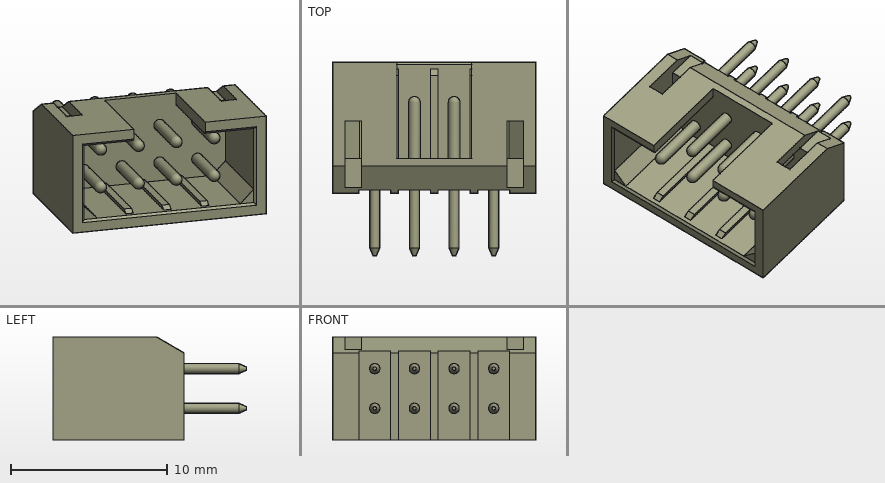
import cadquery as cq
import math

width = 13.0
depth = 8.4
height = 6.6
wall = 0.8
back_wall = 2.24
top_bevel_depth = 1.75
top_bevel_drop = 1.02

corner_bevel = 0.9
mouth_bevel = 0.15
slot_width = 4.8

pitch = 2.54
columns = 4
rows = 2
contact_diameter = 0.75
contact_reach = 6.2
tail_diameter = 0.66
tail_reach = 4.0
tail_taper = 0.5
tail_tip_diameter = 0.22

rib_width = 0.5
recess_depth = 0.2
floor_rib_height = 0.2
floor_rib_setback = 0.44
floor_rib_bevel = 0.4

pocket_width = 1.03
pocket_end = 4.62

embed = 0.4

cavity_width = width - 2 * wall
cavity_height = height - 2 * wall
column_places = [(i - (columns - 1) / 2) * pitch for i in range(columns)]
rib_places = [(i - (columns - 2) / 2) * pitch for i in range(columns - 1)]
row_places = [height / 2 + (i - (rows - 1) / 2) * pitch for i in range(rows)]


def block(x_size, y_start, y_end, z_start, z_end, x_center=0.0):
    """Box centred on x_center and spanning the given Y and Z ranges."""
    box = cq.Workplane("XY").box(x_size, y_end - y_start, z_end - z_start, centered=(True, False, False))
    return box.translate((x_center, y_start, z_start))


def make_shell():
    """Outer block with the long top edge of the pin side bevelled."""
    profile = [
        (0, 0),
        (depth, 0),
        (depth, height),
        (top_bevel_depth, height),
        (0, height - top_bevel_drop),
    ]
    return cq.Workplane("YZ").polyline(profile).close().extrude(width / 2, both=True)


def make_cavity():
    """Cavity with bevelled lower corners and a flared mouth."""
    cavity = block(cavity_width, back_wall, depth, wall, height - wall)
    cavity = cavity.edges("|Y and <Z").chamfer(corner_bevel)
    flare = (
        cq.Workplane("XZ", origin=(0, depth - mouth_bevel, height / 2))
        .rect(cavity_width, cavity_height)
        .workplane(offset=-mouth_bevel)
        .rect(cavity_width + 2 * mouth_bevel, cavity_height + 2 * mouth_bevel)
        .loft()
    )
    return cavity.union(flare)


def make_floor_rib(x_center):
    """Rib along the cavity floor with a sloped lead-in at the mouth end."""
    end = depth - floor_rib_setback
    top = wall + floor_rib_height
    profile = [
        (back_wall - embed, wall - embed),
        (end, wall - embed),
        (end, wall),
        (end - floor_rib_bevel, top),
        (back_wall - embed, top),
    ]
    rib = cq.Workplane("YZ").polyline(profile).close().extrude(rib_width / 2, both=True)
    return rib.translate((x_center, 0, 0))


def make_pin(x, z):
    """Round pin with a domed contact end and a tapered solder tail."""
    contact_radius = contact_diameter / 2
    tail_radius = tail_diameter / 2
    dome_base = contact_reach - contact_radius
    dome_mid = contact_radius * math.sin(math.pi / 4)
    profile = (
        cq.Workplane("XY")
        .moveTo(0, -tail_reach)
        .lineTo(tail_tip_diameter / 2, -tail_reach)
        .lineTo(tail_radius, tail_taper - tail_reach)
        .lineTo(tail_radius, back_wall - embed)
        .lineTo(contact_radius, back_wall - embed)
        .lineTo(contact_radius, dome_base)
        .threePointArc((dome_mid, dome_base + dome_mid), (0, contact_reach))
        .close()
    )
    return profile.revolve(360, (0, 0), (0, 1)).translate((x, 0, z))


def make_top_slot():
    """Opening through the top wall, from the back of the cavity to the mouth."""
    return block(slot_width, back_wall, depth, height - 2 * wall, height)


def make_latch_pocket(side):
    """Pocket in the top wall along one side of the cavity; side is -1 or 1."""
    x_center = side * (cavity_width - pocket_width) / 2
    return block(pocket_width, 0, pocket_end, height - wall, height, x_center)


def make_back_recess(x_center):
    """Shallow full-height recess around one column of solder tails."""
    return block(pitch - rib_width, 0, recess_depth, 0, height, x_center)


result = make_shell().cut(make_cavity()).cut(make_top_slot())
for side in (-1, 1):
    result = result.cut(make_latch_pocket(side))
for x in column_places:
    result = result.cut(make_back_recess(x))
for x in rib_places:
    result = result.union(make_floor_rib(x))
for x in column_places:
    for z in row_places:
        result = result.union(make_pin(x, z))